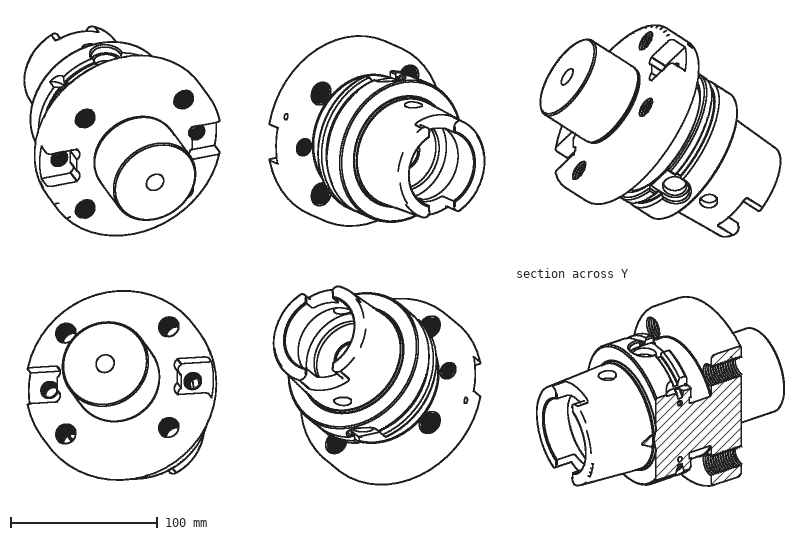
import cadquery as cq
import math


TAPER_LENGTH = 50.0
COLLAR_END_X = 29.0
FLANGE_X = 45.0
FLANGE_WIDTH = 25.0
FLANGE_END_X = FLANGE_X + FLANGE_WIDTH
SPIGOT_LENGTH = 40.0
SPIGOT_END_X = FLANGE_END_X + SPIGOT_LENGTH

TAPER_TIP_RADIUS = 35.5
TAPER_ROOT_RADIUS = 38.0
COLLAR_RADIUS = 50.0
NECK_RADIUS = 42.5
FLANGE_RADIUS = 64.5
SPIGOT_RADIUS = 30.0

EDGE_BREAK = 1.0
COLLAR_BACK_BREAK = 1.2
BACK_RECESS_RADIUS = 44.7
BACK_RECESS_DEPTH = 1.2
NECK_ROOT_CHAMFER = 0.5
FLANGE_FILLET = 3.0
TAPER_RELIEF_WIDTH = 2.2
TAPER_RELIEF_DEPTH = 0.4
TAPER_RELIEF_FLOOR_END_X = -0.9
TAPER_RELIEF_RISE = 0.8
FACE_RELIEF_RADIUS = 39.2
FACE_RELIEF_DEPTH = 0.5
SPIGOT_RELIEF_FLOOR_WIDTH = 1.2
SPIGOT_RELIEF_WIDTH = 2.3
SPIGOT_RELIEF_DEPTH = 0.5

GROOVE_X = 20.0
GROOVE_TOP_HALF_WIDTH = 3.25
GROOVE_FLOOR_HALF_WIDTH = 1.8
GROOVE_SHOULDER_RADIUS = 47.2
GROOVE_FLOOR_RADIUS = 46.1
GROOVE_HOLE_DIAMETER = 3.0
GROOVE_HOLE_DEPTH = 5.0
GROOVE_HOLE_ANGLES = (31.0, 5.0, -20.0, -31.0)

CAVITY_RADIUS = 26.5
CAVITY_DEPTH = 46.0
CAVITY_CHAMFER = 0.8
CLAMP_GROOVE_RADIUS = 31.5
CLAMP_SHOULDER_DEPTH = 20.0
CLAMP_SHOULDER_ANGLE = 60.0
CLAMP_GROOVE_END_DEPTH = 42.0
CAVITY_FLOOR_RADIUS = 25.6
TUBE_SEAT_MOUTH_RADIUS = 12.2
TUBE_SEAT_RADIUS = 11.4
TUBE_SEAT_DEPTH = 15.0
COOLANT_RADIUS = 6.3

END_SLOT_WIDTH = 20.0
END_SLOT_TOP_DEPTH = 10.0
END_SLOT_BOTTOM_DEPTH = 15.0
END_SLOT_ROOT_FILLET = 1.5
END_SLOT_RIM_FILLET = 4.0
END_SLOT_FACE_CHAMFER = 0.8

CROSS_HOLE_X = -15.0
CROSS_HOLE_DIAMETER = 12.0

KEYWAY_WIDTH = 20.0
KEYWAY_CENTRE_X = 15.0
KEYWAY_FLOOR_HEIGHT = 44.0
KEYWAY_CHAMFER = 1.2
KEYWAY_HOLE_DIAMETER = 16.2
KEYWAY_HOLE_DEPTH = 5.0

NOTCH_OFFSET = 31.7
NOTCH_CUTTER_RADIUS = 8.0
NOTCH_CUTTER_X = 17.0

FLANGE_SLOT_WIDTH = 25.6
FLANGE_SLOT_DEPTH = 12.3
FLANGE_SLOT_FLOOR = 42.0
FLANGE_SLOT_RELIEF_RADIUS = 4.4
FLANGE_SLOT_RELIEF_OFFSET = 2.2
BOLT_CIRCLE_RADIUS = 50.8
BOLT_THREAD_DIAMETER = 16.0
BOLT_THREAD_PITCH = 2.0
SIDE_HOLE_RADIUS = 50.0
SIDE_THREAD_DIAMETER = 12.0
SIDE_THREAD_PITCH = 1.75
THREAD_DEPTH_RATIO = 0.54
SCREW_HOLE_X = 51.0
SCREW_HOLE_ANGLE = 20.0
SCREW_HOLE_DIAMETER = 4.0
SCREW_HOLE_DEPTH = 6.0


def cylinder_x(radius, x_start, x_end, y=0.0, z=0.0):
    origin = cq.Vector(x_start, y, z)
    return cq.Workplane(cq.Solid.makeCylinder(radius, x_end - x_start, origin, cq.Vector(1, 0, 0)))


def radial_hole(diameter, x, angle, outer_radius, depth):
    """Blind drill entering from outer_radius; the angle runs from -Y towards +Z."""
    outward = cq.Vector(0, -math.cos(math.radians(angle)), math.sin(math.radians(angle)))
    bottom = cq.Vector(x, 0, 0) + outward * (outer_radius - depth)
    overshoot = 2.0
    return cq.Workplane(cq.Solid.makeCylinder(diameter / 2, depth + overshoot, bottom, outward))


def turned_body():
    taper_slope = (TAPER_ROOT_RADIUS - TAPER_TIP_RADIUS) / TAPER_LENGTH
    relief_start_radius = TAPER_ROOT_RADIUS - taper_slope * TAPER_RELIEF_WIDTH
    relief_radius = relief_start_radius - TAPER_RELIEF_DEPTH
    spigot_relief_radius = SPIGOT_RADIUS - SPIGOT_RELIEF_DEPTH
    profile = (
        cq.Workplane("XY")
        .moveTo(-TAPER_LENGTH, 0)
        .lineTo(-TAPER_LENGTH, TAPER_TIP_RADIUS - EDGE_BREAK)
        .radiusArc((-TAPER_LENGTH + EDGE_BREAK, TAPER_TIP_RADIUS), EDGE_BREAK)
        .lineTo(-TAPER_RELIEF_WIDTH, relief_start_radius)
        .lineTo(-TAPER_RELIEF_WIDTH + TAPER_RELIEF_DEPTH, relief_radius)
        .lineTo(TAPER_RELIEF_FLOOR_END_X, relief_radius)
        .lineTo(FACE_RELIEF_DEPTH, relief_radius + TAPER_RELIEF_RISE)
        .lineTo(FACE_RELIEF_DEPTH, FACE_RELIEF_RADIUS - FACE_RELIEF_DEPTH)
        .lineTo(0, FACE_RELIEF_RADIUS)
        .lineTo(0, COLLAR_RADIUS - EDGE_BREAK)
        .lineTo(EDGE_BREAK, COLLAR_RADIUS)
        .lineTo(GROOVE_X - GROOVE_TOP_HALF_WIDTH, COLLAR_RADIUS)
        .lineTo(GROOVE_X - GROOVE_FLOOR_HALF_WIDTH, GROOVE_SHOULDER_RADIUS)
        .lineTo(GROOVE_X - GROOVE_FLOOR_HALF_WIDTH, GROOVE_FLOOR_RADIUS)
        .lineTo(GROOVE_X + GROOVE_FLOOR_HALF_WIDTH, GROOVE_FLOOR_RADIUS)
        .lineTo(GROOVE_X + GROOVE_FLOOR_HALF_WIDTH, GROOVE_SHOULDER_RADIUS)
        .lineTo(GROOVE_X + GROOVE_TOP_HALF_WIDTH, COLLAR_RADIUS)
        .lineTo(COLLAR_END_X - COLLAR_BACK_BREAK, COLLAR_RADIUS)
        .lineTo(COLLAR_END_X, COLLAR_RADIUS - COLLAR_BACK_BREAK)
        .lineTo(COLLAR_END_X, BACK_RECESS_RADIUS)
        .lineTo(COLLAR_END_X - BACK_RECESS_DEPTH, BACK_RECESS_RADIUS)
        .lineTo(COLLAR_END_X - BACK_RECESS_DEPTH, NECK_RADIUS)
        .lineTo(FLANGE_X - NECK_ROOT_CHAMFER, NECK_RADIUS)
        .lineTo(FLANGE_X, NECK_RADIUS + NECK_ROOT_CHAMFER)
        .lineTo(FLANGE_X, FLANGE_RADIUS - FLANGE_FILLET)
        .radiusArc((FLANGE_X + FLANGE_FILLET, FLANGE_RADIUS), FLANGE_FILLET)
        .lineTo(FLANGE_END_X - FLANGE_FILLET, FLANGE_RADIUS)
        .radiusArc((FLANGE_END_X, FLANGE_RADIUS - FLANGE_FILLET), FLANGE_FILLET)
        .lineTo(FLANGE_END_X, spigot_relief_radius)
        .lineTo(FLANGE_END_X + SPIGOT_RELIEF_FLOOR_WIDTH, spigot_relief_radius)
        .lineTo(FLANGE_END_X + SPIGOT_RELIEF_WIDTH, SPIGOT_RADIUS)
        .lineTo(SPIGOT_END_X - EDGE_BREAK, SPIGOT_RADIUS)
        .lineTo(SPIGOT_END_X, SPIGOT_RADIUS - EDGE_BREAK)
        .lineTo(SPIGOT_END_X, 0)
        .close()
    )
    return profile.revolve(360, (0, 0, 0), (1, 0, 0))


def axial_bores():
    """Clamping cavity with its inner groove, coolant tube seat and coolant bore, turned as one shape."""
    cavity_end_x = CAVITY_DEPTH - TAPER_LENGTH
    seat_end_x = cavity_end_x + TUBE_SEAT_DEPTH
    groove_end_x = CLAMP_GROOVE_END_DEPTH - TAPER_LENGTH
    shoulder_x = CLAMP_SHOULDER_DEPTH - TAPER_LENGTH
    shoulder_rise = CLAMP_GROOVE_RADIUS - CAVITY_RADIUS
    shoulder_length = shoulder_rise / math.tan(math.radians(CLAMP_SHOULDER_ANGLE))
    seat_chamfer = TUBE_SEAT_MOUTH_RADIUS - TUBE_SEAT_RADIUS
    profile = (
        cq.Workplane("XY")
        .moveTo(-TAPER_LENGTH, 0)
        .lineTo(-TAPER_LENGTH, CAVITY_RADIUS + CAVITY_CHAMFER)
        .lineTo(-TAPER_LENGTH + CAVITY_CHAMFER, CAVITY_RADIUS)
        .lineTo(shoulder_x, CAVITY_RADIUS)
        .lineTo(shoulder_x + shoulder_length, CLAMP_GROOVE_RADIUS)
        .lineTo(groove_end_x, CLAMP_GROOVE_RADIUS)
        .lineTo(groove_end_x, CAVITY_FLOOR_RADIUS)
        .lineTo(cavity_end_x, CAVITY_FLOOR_RADIUS)
        .lineTo(cavity_end_x, TUBE_SEAT_MOUTH_RADIUS)
        .lineTo(cavity_end_x + seat_chamfer, TUBE_SEAT_RADIUS)
        .lineTo(seat_end_x, TUBE_SEAT_RADIUS)
        .lineTo(seat_end_x, COOLANT_RADIUS)
        .lineTo(SPIGOT_END_X, COOLANT_RADIUS)
        .lineTo(SPIGOT_END_X, 0)
        .close()
    )
    return profile.revolve(360, (0, 0, 0), (1, 0, 0))


def end_slot(depth, side):
    """Drive slot in the taper end; its walls are chamfered at the face and rounded at the taper."""
    half_width = END_SLOT_WIDTH / 2
    outer_z = COLLAR_RADIUS
    round_y = half_width + END_SLOT_RIM_FILLET
    round_reach = TAPER_TIP_RADIUS - END_SLOT_RIM_FILLET
    round_z = math.sqrt(round_reach ** 2 - round_y ** 2)
    tangent_ratio = TAPER_TIP_RADIUS / round_reach
    tip_y = round_y * tangent_ratio
    tip_z = round_z * tangent_ratio
    slot = (
        cq.Workplane("YZ", origin=(-TAPER_LENGTH, 0, 0))
        .moveTo(-half_width, 0)
        .lineTo(-half_width, round_z)
        .radiusArc((-tip_y, tip_z), -END_SLOT_RIM_FILLET)
        .lineTo(-tip_y, outer_z)
        .lineTo(tip_y, outer_z)
        .lineTo(tip_y, tip_z)
        .radiusArc((half_width, round_z), -END_SLOT_RIM_FILLET)
        .lineTo(half_width, 0)
        .close()
        .extrude(depth)
        .faces(">X")
        .edges()
        .fillet(END_SLOT_ROOT_FILLET)
    )
    mouth_half_width = half_width + END_SLOT_FACE_CHAMFER
    mouth = (
        cq.Workplane("XY")
        .moveTo(-TAPER_LENGTH, -mouth_half_width)
        .lineTo(-TAPER_LENGTH, mouth_half_width)
        .lineTo(-TAPER_LENGTH + END_SLOT_FACE_CHAMFER, half_width)
        .lineTo(-TAPER_LENGTH + END_SLOT_FACE_CHAMFER, -half_width)
        .close()
        .extrude(round_z)
    )
    slot = slot.union(mouth)
    return slot if side > 0 else slot.mirror("XY")


def cross_hole():
    height = 2 * COLLAR_RADIUS
    return (
        cq.Workplane("XY", origin=(CROSS_HOLE_X, 0, -height / 2))
        .circle(CROSS_HOLE_DIAMETER / 2)
        .extrude(height)
    )


def keyway():
    """Round-ended slot along the collar with a chamfered rim and a blind hole in its floor."""
    half_width = KEYWAY_WIDTH / 2
    slot = (
        cq.Workplane("XY", origin=(0, 0, KEYWAY_FLOOR_HEIGHT))
        .moveTo(COLLAR_END_X, -half_width)
        .lineTo(COLLAR_END_X, half_width)
        .lineTo(KEYWAY_CENTRE_X, half_width)
        .threePointArc((KEYWAY_CENTRE_X - half_width, 0), (KEYWAY_CENTRE_X, -half_width))
        .close()
        .extrude(COLLAR_RADIUS)
    )
    blank = cylinder_x(COLLAR_RADIUS, 0, COLLAR_END_X)
    rim_z = math.sqrt(COLLAR_RADIUS ** 2 - half_width ** 2)
    tolerance = 0.05
    rim_box = cq.selectors.BoxSelector(
        (KEYWAY_CENTRE_X - half_width - tolerance, -half_width - tolerance, rim_z - tolerance),
        (COLLAR_END_X - tolerance, half_width + tolerance, COLLAR_RADIUS + tolerance),
        boundingbox=False,
    )
    slotted = blank.cut(slot).edges(rim_box).chamfer(KEYWAY_CHAMFER)
    hole = (
        cq.Workplane("XY", origin=(KEYWAY_CENTRE_X, 0, KEYWAY_FLOOR_HEIGHT))
        .circle(KEYWAY_HOLE_DIAMETER / 2)
        .extrude(-KEYWAY_HOLE_DEPTH)
    )
    return blank.cut(slotted).union(hole)


def orientation_notch():
    """Square-cornered notch between -Y and +Z with a milled round at its closed end."""
    centre_y = -NOTCH_OFFSET - NOTCH_CUTTER_RADIUS
    outer_y = -COLLAR_RADIUS
    return (
        cq.Workplane("XY", origin=(0, 0, NOTCH_OFFSET))
        .moveTo(COLLAR_END_X, outer_y)
        .lineTo(COLLAR_END_X, -NOTCH_OFFSET)
        .lineTo(NOTCH_CUTTER_X, -NOTCH_OFFSET)
        .radiusArc((NOTCH_CUTTER_X - NOTCH_CUTTER_RADIUS, centre_y), -NOTCH_CUTTER_RADIUS)
        .lineTo(NOTCH_CUTTER_X - NOTCH_CUTTER_RADIUS, outer_y)
        .close()
        .extrude(COLLAR_RADIUS - NOTCH_OFFSET)
    )


def groove_holes():
    holes = cq.Workplane()
    for angle in GROOVE_HOLE_ANGLES:
        holes.add(radial_hole(GROOVE_HOLE_DIAMETER, GROOVE_X, angle, GROOVE_FLOOR_RADIUS, GROOVE_HOLE_DEPTH))
    return holes.combine()


def flange_slot(side):
    """Key slot in the spigot side of the flange, with a round relief groove in each floor corner."""
    slot_x = FLANGE_END_X - FLANGE_SLOT_DEPTH
    slot = cq.Workplane("XY", origin=(slot_x, FLANGE_SLOT_FLOOR, 0)).box(
        FLANGE_SLOT_DEPTH, FLANGE_RADIUS, FLANGE_SLOT_WIDTH, centered=(False, False, True)
    )
    relief_y = FLANGE_SLOT_FLOOR + FLANGE_SLOT_RELIEF_OFFSET
    relief_z = FLANGE_SLOT_WIDTH / 2 - FLANGE_SLOT_RELIEF_RADIUS
    for z in (relief_z, -relief_z):
        relief = cylinder_x(FLANGE_SLOT_RELIEF_RADIUS, slot_x, FLANGE_END_X, relief_y, z)
        slot = slot.union(relief)
    return slot if side > 0 else slot.mirror("XZ")


def threaded_hole(y, z, diameter, pitch):
    """Through hole in the flange whose thread is modelled as a row of V-shaped rings."""
    major_radius = diameter / 2
    minor_radius = major_radius - THREAD_DEPTH_RATIO * pitch
    profile = cq.Workplane("XY").moveTo(FLANGE_X, 0).lineTo(FLANGE_X, major_radius)
    for ring in range(math.ceil(FLANGE_WIDTH / pitch)):
        ring_x = FLANGE_X + ring * pitch
        profile = profile.lineTo(ring_x + pitch / 2, minor_radius).lineTo(ring_x + pitch, major_radius)
    thread_end_x = ring_x + pitch
    profile = profile.lineTo(thread_end_x, 0).close()
    return profile.revolve(360, (0, 0, 0), (1, 0, 0)).translate((0, y, z))


result = turned_body()
result = result.cut(axial_bores())
result = result.cut(end_slot(END_SLOT_TOP_DEPTH, 1))
result = result.cut(end_slot(END_SLOT_BOTTOM_DEPTH, -1))
result = result.cut(cross_hole())
result = result.cut(keyway())
result = result.cut(keyway().mirror("XY"))
result = result.cut(orientation_notch())
result = result.cut(groove_holes())

bolt_offset = BOLT_CIRCLE_RADIUS * math.sqrt(0.5)
for side in (1, -1):
    result = result.cut(flange_slot(side))
    result = result.cut(threaded_hole(side * SIDE_HOLE_RADIUS, 0, SIDE_THREAD_DIAMETER, SIDE_THREAD_PITCH))
    for z in (bolt_offset, -bolt_offset):
        result = result.cut(threaded_hole(side * bolt_offset, z, BOLT_THREAD_DIAMETER, BOLT_THREAD_PITCH))

for angle in (-SCREW_HOLE_ANGLE, 180 - SCREW_HOLE_ANGLE):
    result = result.cut(
        radial_hole(SCREW_HOLE_DIAMETER, SCREW_HOLE_X, angle, FLANGE_RADIUS, SCREW_HOLE_DEPTH)
    )